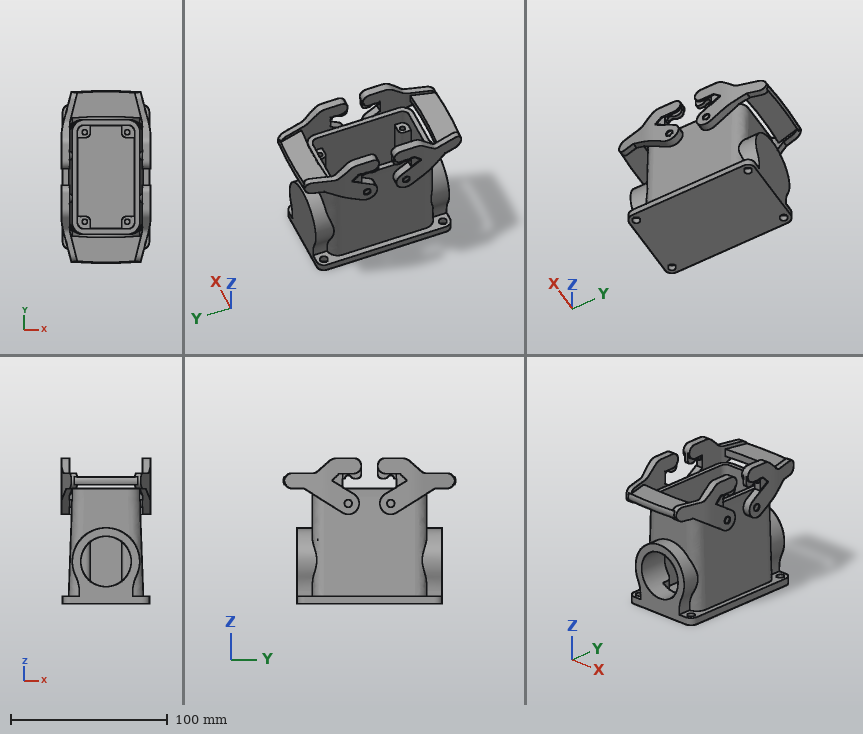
import cadquery as cq
import math

flange_half_x = 27.7
flange_half_y = 46.2
flange_height = 5.1
flange_corner_radius = 5.1
mount_hole_diameter = 5.1
mount_hole_inset = flange_corner_radius

wall_half_y_bottom = 36.6
wall_half_y_top = 36.5
wall_half_x_bottom = 23.9
wall_half_x_top = 21.6
wall_corner_radius = 7.7
rim_z = 73.6
draft_top_z = 68.4

cavity_half_x_top = 18.3
cavity_half_x_bottom = 18.0
cavity_half_y_top = 33.1
cavity_half_y_bottom = 32.8
cavity_corner_radius = 4.4
post_inner_x = 10.0
post_inner_y = 25.1
post_corner_radius = 3.1
post_top_z = 62.5
screw_x = 13.5
screw_y = 28.5
screw_hole_diameter = 3.3
screw_hole_depth = 13.2

boss_radius = 21.5
boss_z = 27.1
boss_foot_half_x = 17.0
bore_radius = 16.1

pin_y = 13.5
pin_z = 64.0
pin_diameter = 4.8
pin_recess = 0.8
lever_outer_x = 28.5
lever_inner_x = 23.1
hook_thickness = 2.6
web_thickness = 4.8
lever_top_z = 93.0
arm_radius = 6.9
arm_angle = math.radians(32)
arm_crotch_y = 23.9
nose_tip_y = 5.2
nose_radius = 5.0
nose_underside_y = 19.2
shoulder_y = 23.5
shoulder_radius = 7.7
handle_top_y = 34.3
handle_fillet_radius = 4.0
handle_radius = 5.0
handle_z = 78.4
handle_end_y = 54.2
bend_start_y = 25.4
bend_end_y = 34.5
bend_end_outer_x = 27.2
handle_end_outer_x = 22.1
handle_end_inner_x = 18.2
hook_edge_y = 17.0
hook_bottom_z = 79.8
hook_lobe_radius = 3.1
hook_lobe_end_y = 9.2
notch_radius = 2.1
notch_side_y = 11.7
notch_side_z = 80.7
bar_thickness = 5.1
bar_outer_y = 55.0
bar_inner_y = 38.6
bar_bow_radius = 264
bar_crown = 0.7


def rounded_block(half_x, half_y, radius, bottom_z, top_z):
    """Upright block, centred on Z, with rounded vertical corners."""
    return (
        cq.Workplane("XY", origin=(0, 0, bottom_z))
        .rect(2 * half_x, 2 * half_y)
        .extrude(top_z - bottom_z)
        .edges("|Z")
        .fillet(radius)
    )


def drafted_block(bottom_half_sizes, top_half_sizes, radius, bottom_z, top_z):
    """Upright block with rounded corners whose sides lean between two half sizes (x, y)."""
    bottom = rounded_outline(*bottom_half_sizes, radius)
    top = rounded_outline(*top_half_sizes, radius).moved(cq.Location(cq.Vector(0, 0, top_z - bottom_z)))
    return cq.Workplane("XY", origin=(0, 0, bottom_z)).placeSketch(bottom, top).loft(ruled=True)


def rounded_outline(half_x, half_y, radius):
    return cq.Sketch().rect(2 * half_x, 2 * half_y).vertices().fillet(radius)


def make_flange():
    flange = rounded_block(flange_half_x, flange_half_y, flange_corner_radius, 0, flange_height)
    hole_x = flange_half_x - mount_hole_inset
    hole_y = flange_half_y - mount_hole_inset
    holes = (
        cq.Workplane("XY")
        .rect(2 * hole_x, 2 * hole_y, forConstruction=True)
        .vertices()
        .circle(mount_hole_diameter / 2)
        .extrude(flange_height)
    )
    return flange.cut(holes)


def make_walls():
    lower = drafted_block(
        (wall_half_x_bottom, wall_half_y_bottom),
        (wall_half_x_top, wall_half_y_top),
        wall_corner_radius,
        flange_height,
        draft_top_z,
    )
    rim = rounded_block(wall_half_x_top, wall_half_y_top, wall_corner_radius, draft_top_z, rim_z)
    return lower.union(rim)


def make_boss_block():
    """Both cable entry bosses as one bar along Y: a round on a waisted foot."""
    waist_radius = boss_radius
    waist_x = boss_foot_half_x + waist_radius
    waist_z = boss_z - math.sqrt((boss_radius + waist_radius) ** 2 - waist_x**2)
    join_x = waist_x * boss_radius / (boss_radius + waist_radius)
    join_z = boss_z - (boss_z - waist_z) * boss_radius / (boss_radius + waist_radius)
    return (
        cq.Workplane("XZ", origin=(0, flange_half_y, 0))
        .moveTo(-boss_foot_half_x, 0)
        .lineTo(boss_foot_half_x, 0)
        .lineTo(boss_foot_half_x, waist_z)
        .tangentArcPoint((join_x, join_z), relative=False)
        .threePointArc((0, boss_z + boss_radius), (-join_x, join_z))
        .tangentArcPoint((-boss_foot_half_x, waist_z), relative=False)
        .close()
        .extrude(2 * flange_half_y)
    )


def make_cavity():
    """Space inside the walls, with the four screw posts left standing."""
    lower = drafted_block(
        (cavity_half_x_bottom, cavity_half_y_bottom),
        (cavity_half_x_top, cavity_half_y_top),
        cavity_corner_radius,
        flange_height,
        draft_top_z,
    )
    mouth = rounded_block(cavity_half_x_top, cavity_half_y_top, cavity_corner_radius, draft_top_z, rim_z)
    cavity = lower.union(mouth)
    post_size_x = wall_half_x_bottom - post_inner_x
    post_size_y = wall_half_y_bottom - post_inner_y
    post_center_x = post_inner_x + post_size_x / 2
    post_center_y = post_inner_y + post_size_y / 2
    for side_x in (-1, 1):
        for side_y in (-1, 1):
            post = (
                cq.Workplane("XY")
                .center(side_x * post_center_x, side_y * post_center_y)
                .rect(post_size_x, post_size_y)
                .extrude(post_top_z)
                .edges("|Z")
                .fillet(post_corner_radius)
            )
            cavity = cavity.cut(post)
    return cavity


def make_screw_holes():
    return (
        cq.Workplane("XY", origin=(0, 0, post_top_z - screw_hole_depth))
        .rect(2 * screw_x, 2 * screw_y, forConstruction=True)
        .vertices()
        .circle(screw_hole_diameter / 2)
        .extrude(screw_hole_depth)
    )


def make_cable_bore():
    """Bore through the -Y boss, its wall and the screw posts behind it."""
    return (
        cq.Workplane("XZ", origin=(0, -post_inner_y, boss_z))
        .circle(bore_radius)
        .extrude(flange_half_y - post_inner_y)
    )


def make_pivot_pins():
    """Four pins that carry the levers, rooted in the X walls."""
    root_x = (cavity_half_x_top + wall_half_x_top) / 2
    end_x = lever_outer_x - pin_recess
    pins = cq.Workplane("XY")
    for y in (-pin_y, pin_y):
        pin = cq.Workplane("YZ", origin=(root_x, y, pin_z)).circle(pin_diameter / 2).extrude(end_x - root_x)
        pins = pins.union(pin).union(pin.mirror("YZ"))
    return pins


def make_housing():
    return (
        make_flange()
        .union(make_walls())
        .union(make_boss_block())
        .cut(make_cavity())
        .cut(make_screw_holes())
        .cut(make_cable_bore())
        .union(make_pivot_pins())
    )


def arm_upper_z(y):
    """Height of the upper edge of the arm that slopes down to the pivot."""
    return pin_z + arm_radius / math.cos(arm_angle) + (y - pin_y) * math.tan(arm_angle)


def lever_side_profile():
    """Side outline of a lever in the YZ plane, as a slab reaching across +X."""
    dy = arm_radius * math.sin(arm_angle)
    dz = arm_radius * math.cos(arm_angle)
    handle_bottom_z = handle_z - handle_radius
    handle_center_y = handle_end_y - handle_radius
    arm_end_y = pin_y + dy + (handle_bottom_z - pin_z + dz) / math.tan(arm_angle)
    nose_center_y = nose_tip_y + nose_radius
    nose_bottom_z = lever_top_z - 2 * nose_radius
    slab = (
        cq.Workplane("YZ")
        .moveTo(pin_y + dy, pin_z - dz)
        .lineTo(arm_end_y, handle_bottom_z)
        .lineTo(handle_center_y, handle_bottom_z)
        .threePointArc((handle_end_y, handle_z), (handle_center_y, handle_z + handle_radius))
        .lineTo(handle_top_y, handle_z + handle_radius)
        .lineTo(shoulder_y, lever_top_z)
        .lineTo(nose_center_y, lever_top_z)
        .threePointArc((nose_tip_y, lever_top_z - nose_radius), (nose_center_y, nose_bottom_z))
        .lineTo(nose_underside_y, nose_bottom_z)
        .lineTo(arm_crotch_y, arm_upper_z(arm_crotch_y))
        .lineTo(pin_y - dy, pin_z + dz)
        .threePointArc(
            (pin_y - arm_radius * math.cos(arm_angle), pin_z - arm_radius * math.sin(arm_angle)),
            (pin_y + dy, pin_z - dz),
        )
        .close()
        .extrude(lever_outer_x)
    )
    slab = slab.edges(near_edge(shoulder_y, lever_top_z)).fillet(shoulder_radius)
    return slab.edges(near_edge(handle_top_y, handle_z + handle_radius)).fillet(handle_fillet_radius)


def near_edge(y, z):
    """Selector for the edge along X nearest to a point of the side outline."""
    return cq.selectors.NearestToPointSelector((lever_outer_x / 2, y, z))


def lever_plan_profile():
    """Outline of the +X lever plate in the XY plane, bent inwards along the handle."""
    return (
        cq.Workplane("XY")
        .moveTo(lever_inner_x, 0)
        .lineTo(lever_outer_x, 0)
        .lineTo(lever_outer_x, bend_start_y)
        .tangentArcPoint((bend_end_outer_x, bend_end_y), relative=False)
        .lineTo(handle_end_outer_x, handle_end_y)
        .lineTo(handle_end_inner_x, handle_end_y)
        .lineTo(lever_inner_x, bend_end_y)
        .close()
        .extrude(lever_top_z)
    )


def make_web():
    """Web in the crotch of the arm, set back slightly from the outer face."""
    return (
        cq.Workplane("YZ", origin=(lever_inner_x, 0, 0))
        .moveTo(hook_edge_y, arm_upper_z(hook_edge_y))
        .lineTo(arm_crotch_y, arm_upper_z(arm_crotch_y))
        .lineTo(arm_crotch_y, lever_top_z - nose_radius)
        .lineTo(hook_edge_y, lever_top_z - nose_radius)
        .close()
        .extrude(web_thickness)
    )


def make_hook():
    """Notched locking hook under the nose, half way through the plate thickness."""
    lobe_center_z = hook_bottom_z + hook_lobe_radius
    lobe_shift = hook_lobe_radius * (1 - math.sqrt(0.5))
    root_z = lever_top_z - nose_radius
    hook_x = (lever_inner_x + lever_outer_x - hook_thickness) / 2
    return (
        cq.Workplane("YZ", origin=(hook_x, 0, 0))
        .moveTo(hook_edge_y, root_z)
        .lineTo(nose_tip_y, root_z)
        .lineTo(nose_tip_y, lobe_center_z)
        .threePointArc(
            (nose_tip_y + lobe_shift, hook_bottom_z + lobe_shift),
            (nose_tip_y + hook_lobe_radius, hook_bottom_z),
        )
        .lineTo(hook_lobe_end_y, hook_bottom_z)
        .tangentArcPoint((notch_side_y, notch_side_z), relative=False)
        .threePointArc((pin_y, hook_bottom_z + notch_radius), (pin_y + notch_radius, hook_bottom_z))
        .lineTo(hook_edge_y, hook_bottom_z)
        .close()
        .extrude(hook_thickness)
    )


def make_handle_bar():
    """Grip bar between the two plates, bowed in plan, with a crowned outer edge."""
    half_thickness = bar_thickness / 2
    ring = (
        cq.Workplane("YZ", origin=(0, bar_outer_y - bar_bow_radius, handle_z))
        .moveTo(bar_bow_radius - bar_outer_y + bar_inner_y, -half_thickness)
        .lineTo(bar_bow_radius - bar_crown, -half_thickness)
        .threePointArc((bar_bow_radius, 0), (bar_bow_radius - bar_crown, half_thickness))
        .lineTo(bar_bow_radius - bar_outer_y + bar_inner_y, half_thickness)
        .close()
        .revolve(360, (0, 0, 0), (0, 1, 0))
    )
    outer_half_x = (handle_end_outer_x + handle_end_inner_x) / 2
    inner_half_x = (bend_end_outer_x + lever_inner_x) / 2
    gap_between_plates = (
        cq.Workplane("XY")
        .polyline(
            [
                (-outer_half_x, handle_end_y),
                (-outer_half_x, bar_outer_y),
                (outer_half_x, bar_outer_y),
                (outer_half_x, handle_end_y),
                (inner_half_x, bend_end_y),
                (-inner_half_x, bend_end_y),
            ]
        )
        .close()
        .extrude(lever_top_z)
    )
    return ring.intersect(gap_between_plates)


def make_lever():
    """Lever on the +Y side: two hooked plates joined by the grip bar."""
    plate = lever_side_profile().intersect(lever_plan_profile()).union(make_web()).union(make_hook())
    pin_hole = (
        cq.Workplane("YZ", origin=(0, pin_y, pin_z)).circle(pin_diameter / 2).extrude(lever_outer_x)
    )
    plate = plate.cut(pin_hole)
    return plate.union(plate.mirror("YZ")).union(make_handle_bar())


lever = make_lever()
housing = make_housing().union(lever.mirror("XZ"))

result = cq.Compound.makeCompound([housing.val(), lever.val()])